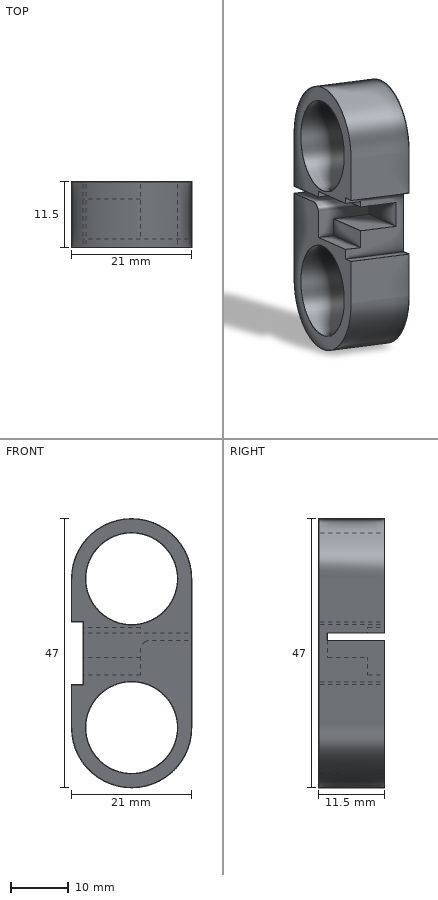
import cadquery as cq

height = 47.0
width = 21.0
thickness = 11.5
bore_diameter = 16.05
bore_spacing = height - width

notch_depth = 2.0
notch_height = 10.95

pocket_length = 10.0
narrow_depth = 10.0
narrow_bottom = -0.75
narrow_top = 3.52
wide_depth = 3.0
wide_bottom = -3.75
wide_top = 4.5

slot_bottom = 2.25
lip_radius = 1.75

left_edge = -width / 2
right_edge = width / 2
back_face = thickness / 2
notch_floor = left_edge + notch_depth
pocket_end = notch_floor + pocket_length


def box_between(x_range, y_range, z_range):
    """Box spanning the given pairs of limits."""
    sizes = [high - low for low, high in (x_range, y_range, z_range)]
    corner = (x_range[0], y_range[0], z_range[0])
    return cq.Workplane("XY").box(*sizes, centered=False).translate(corner)


def back_cut(x_start, x_end, depth, bottom, top):
    """Rectangular cut sunk from the +Y face."""
    return box_between((x_start, x_end), (back_face - depth, back_face), (bottom, top))


def make_plate():
    """Round-ended plate with a bore at the centre of each end."""
    outline = cq.Workplane("XZ").slot2D(height, width, 90)
    plate = outline.extrude(back_face, both=True)
    bores = (
        cq.Workplane("XZ")
        .pushPoints([(0, -bore_spacing / 2), (0, bore_spacing / 2)])
        .circle(bore_diameter / 2)
        .extrude(thickness, both=True)
    )
    return plate.cut(bores)


def make_lip_slot():
    """Exit slot whose floor curves down into the pocket end wall."""
    arc_x = pocket_end + lip_radius
    arc_z = slot_bottom - lip_radius
    arc_reach = lip_radius / 2**0.5
    profile = (
        cq.Workplane("XZ", origin=(0, back_face, 0))
        .moveTo(pocket_end, narrow_top)
        .lineTo(pocket_end, arc_z)
        .threePointArc((arc_x - arc_reach, arc_z + arc_reach), (arc_x, slot_bottom))
        .lineTo(right_edge, slot_bottom)
        .lineTo(right_edge, narrow_top)
        .close()
    )
    return profile.extrude(narrow_depth)


notch = box_between(
    (left_edge, notch_floor),
    (-back_face, back_face),
    (-notch_height / 2, notch_height / 2),
)
narrow_pocket = back_cut(notch_floor, pocket_end, narrow_depth, narrow_bottom, narrow_top)
wide_pocket = back_cut(notch_floor, pocket_end, wide_depth, wide_bottom, wide_top)

result = make_plate()
for cutter in (notch, narrow_pocket, wide_pocket, make_lip_slot()):
    result = result.cut(cutter)